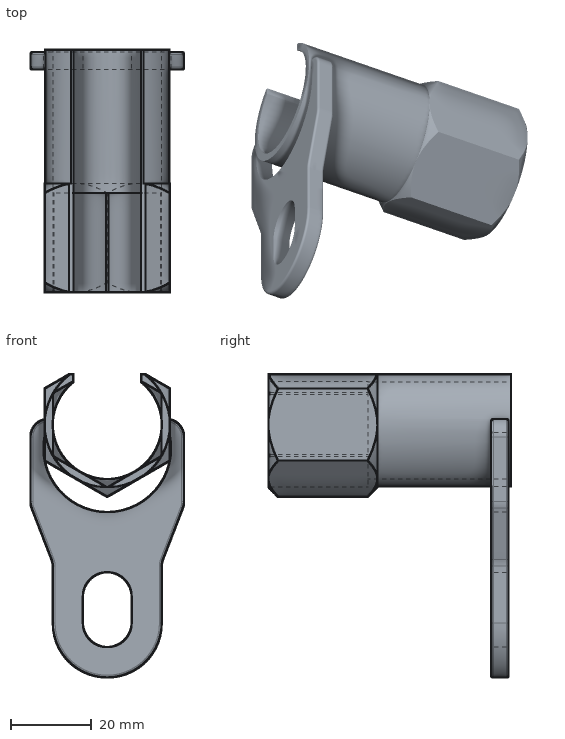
import cadquery as cq
import math


TOTAL_LENGTH = 60.0
TUBE_RADIUS = 15.4
BORE_DIAMETER = 26.9
HEX_FLATS = 31.0
HEX_LENGTH = 26.9
SOCKET_DEPTH = 24.6
TIP_HEIGHT = 12.45
OPENING_WIDTH = 16.8

PLATE_BACK = 0.6
PLATE_THICKNESS = 4.35
PLATE_WIDTH = 38.0
NECK_WIDTH = 27.0
PLATE_TOP = 1.4
PLATE_BOTTOM = TIP_HEIGHT - 75.0
TAPER_TOP = -19.9
TAPER_BOTTOM = -34.1
CORNER_RADIUS = 4.5
EDGE_RADIUS = 0.6
NOTCH_RADIUS = 15.75
NOTCH_CENTER = -5.85
SLOT_WIDTH = 12.0
SLOT_LENGTH = 18.45
SLOT_CENTER = -45.75


def plane_at(distance):
    """XZ sketch plane, set forward (toward -Y) from the back end."""
    return cq.Workplane("XZ", origin=(0, -distance, 0))


def cylinder(start, length, radius):
    return plane_at(start).circle(radius).extrude(length)


def hex_prism(start, length, across_flats):
    """Hexagonal prism along Y with corners at the top and bottom."""
    corner_diameter = across_flats / math.cos(math.pi / 6)
    prism = plane_at(start).polygon(6, corner_diameter).extrude(length)
    return prism.rotate((0, 0, 0), (0, 1, 0), 30)


def make_hex_head():
    """Hexagon whose corners are turned down at 45 degrees on both ends."""
    corner_height = HEX_FLATS / 2 * (1 / math.cos(math.pi / 6) - 1)
    start = TOTAL_LENGTH - HEX_LENGTH
    turned = cylinder(start, HEX_LENGTH, HEX_FLATS / 2 + corner_height)
    turned = turned.faces("<Y or >Y").chamfer(corner_height)
    return hex_prism(start, HEX_LENGTH, HEX_FLATS).intersect(turned)


def make_plate():
    half_width = PLATE_WIDTH / 2
    half_neck = NECK_WIDTH / 2
    round_center = PLATE_BOTTOM + half_neck
    plate = (
        plane_at(PLATE_BACK)
        .moveTo(-half_width, PLATE_TOP)
        .lineTo(-half_width, TAPER_TOP)
        .lineTo(-half_neck, TAPER_BOTTOM)
        .lineTo(-half_neck, round_center)
        .threePointArc((0, PLATE_BOTTOM), (half_neck, round_center))
        .lineTo(half_neck, TAPER_BOTTOM)
        .lineTo(half_width, TAPER_TOP)
        .lineTo(half_width, PLATE_TOP)
        .close()
        .extrude(PLATE_THICKNESS)
    )
    corners = cq.selectors.BoxSelector(
        (-PLATE_WIDTH, -TOTAL_LENGTH, TAPER_BOTTOM - 0.75),
        (PLATE_WIDTH, 0, PLATE_TOP + 0.75),
    )
    plate = plate.edges("|Y").edges(corners).fillet(CORNER_RADIUS)
    plate = plate.faces("<Y or >Y").edges().fillet(EDGE_RADIUS)

    notch = plane_at(0).center(0, NOTCH_CENTER).circle(NOTCH_RADIUS).extrude(TOTAL_LENGTH)
    slot = plane_at(0).center(0, SLOT_CENTER).slot2D(SLOT_LENGTH, SLOT_WIDTH, 90).extrude(TOTAL_LENGTH)
    return plate.cut(notch).cut(slot)


def make_bore():
    """Round bore with a hexagonal socket at the front, its corners cut to the tube radius."""
    socket_start = TOTAL_LENGTH - SOCKET_DEPTH
    socket = hex_prism(socket_start, SOCKET_DEPTH, BORE_DIAMETER)
    socket = socket.intersect(cylinder(socket_start, SOCKET_DEPTH, TUBE_RADIUS))
    return cylinder(0, TOTAL_LENGTH, BORE_DIAMETER / 2).union(socket)


def block_above(height, width):
    """Full-length block that clears everything within a width above a height."""
    base = cq.Workplane(origin=(0, 0, height))
    return base.box(width, 2 * TOTAL_LENGTH, HEX_FLATS, centered=(True, True, False))


def make_opening():
    """Gap between the jaws, plus everything above their flat tips."""
    return block_above(0, OPENING_WIDTH).union(block_above(TIP_HEIGHT, 2 * HEX_FLATS))


body = cylinder(0, TOTAL_LENGTH, TUBE_RADIUS).union(make_hex_head()).union(make_plate())
result = body.cut(make_bore()).cut(make_opening())